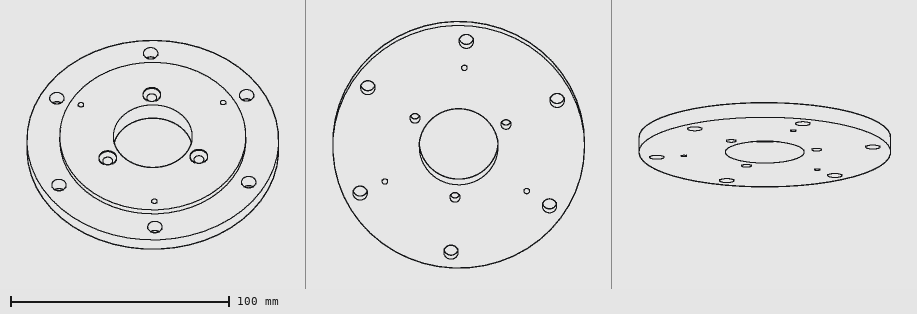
import cadquery as cq
import math

flange_diameter = 115.0
total_height = 10.0
step_diameter = 85.0
step_height = 3.0
flange_height = total_height - step_height
bore_diameter = 36.0

mount_count = 6
mount_circle_radius = 50.0
mount_diameter = 6.5

screw_count = 3
screw_circle_radius = 24.0
screw_diameter = 4.5
countersink_diameter = 8.0
countersink_angle = 90
countersink_lip = 0.7
cone_half_angle = math.radians(countersink_angle / 2)
cone_depth = (countersink_diameter - screw_diameter) / 2 / math.tan(cone_half_angle)

pin_count = 3
pin_circle_radius = 37.5
pin_diameter = 2.5

mount_start_angle = 90
screw_start_angle = -90
pin_start_angle = 90


def hole_ring(body, radius, start_angle, count):
    """Select evenly spaced hole centres on the top plane of the step."""
    top = body.faces(">Z").workplane(origin=(0, 0, total_height))
    return top.polarArray(radius, start_angle, 360, count)


body = cq.Workplane("XY").circle(flange_diameter / 2).extrude(flange_height)
body = body.faces(">Z").workplane().circle(step_diameter / 2).extrude(step_height)
body = body.faces(">Z").workplane().hole(bore_diameter)

body = hole_ring(body, mount_circle_radius, mount_start_angle, mount_count).hole(mount_diameter)
body = hole_ring(body, pin_circle_radius, pin_start_angle, pin_count).hole(pin_diameter)
body = hole_ring(body, screw_circle_radius, screw_start_angle, screw_count).cboreHole(
    screw_diameter, countersink_diameter, countersink_lip
)

cone_top = total_height - countersink_lip
cone_seats = cq.Workplane("XY", origin=(0, 0, cone_top)).polarArray(
    screw_circle_radius, screw_start_angle, 360, screw_count
)
body = body.cut(
    cone_seats.circle(countersink_diameter / 2).extrude(-cone_depth, taper=countersink_angle / 2)
)

result = body